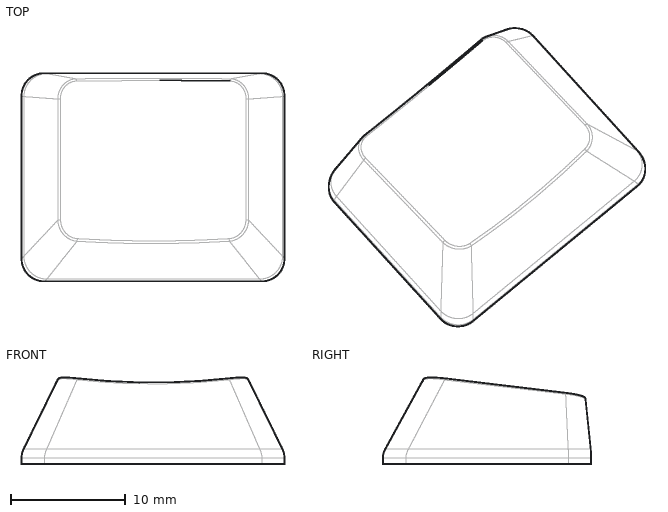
import cadquery as cq
import math

length = 22.92
width = 18.15
base_corner_radius = 2.0
skirt_height = 0.55
shoulder_height = 0.8
shoulder_top = skirt_height + shoulder_height

side_slope = 0.495
front_slope = 0.57
back_slope = 0.095

top_length = 16.45
top_front_y = -5.36
top_back_y = 8.55
top_corner_radius = 1.75
top_fall = 0.12
top_height = 7.08

dish_radius = 56.15
dish_depth = 0.62
rim_radius = 0.23

top_plane = cq.Plane(origin=(0, 0, top_height), xDir=(1, 0, 0), normal=(0, top_fall, 1))
slope_stretch = math.hypot(1, top_fall)


def rounded_outline(size_x, front_y, back_y, corner_radius):
    """Rounded rectangle centred in X and reaching from front_y to back_y."""
    outline = cq.Sketch().rect(size_x, back_y - front_y).vertices().fillet(corner_radius)
    return outline.moved(cq.Location(cq.Vector(0, (front_y + back_y) / 2, 0)))


def base_outline(rise):
    """Base outline drawn in along the wall slopes, as for a straight taper of this rise."""
    return rounded_outline(
        length - 2 * side_slope * rise,
        -width / 2 + front_slope * rise,
        width / 2 - back_slope * rise,
        base_corner_radius,
    )


def at_height(outline, height):
    return outline.moved(cq.Location(cq.Vector(0, 0, height)))


def make_skirt():
    return cq.Workplane("XY").placeSketch(base_outline(0)).extrude(skirt_height)


def make_shoulder():
    """Parabolic turn from the upright skirt into the leaning walls."""
    middle_height = skirt_height + shoulder_height / 2
    sections = (
        at_height(base_outline(0), skirt_height),
        at_height(base_outline(shoulder_height / 8), middle_height),
        at_height(base_outline(shoulder_height / 2), shoulder_top),
    )
    return cq.Workplane("XY").placeSketch(*sections).loft()


def make_body():
    """Tapered walls from the level shoulder outline to the sloping top outline."""
    bottom = at_height(base_outline(shoulder_height / 2), shoulder_top)
    top = rounded_outline(
        top_length,
        top_front_y * slope_stretch,
        top_back_y * slope_stretch,
        top_corner_radius,
    ).moved(top_plane.location)
    return cq.Workplane("XY").placeSketch(bottom, top).loft(ruled=True)


def make_dish():
    """Cylinder hollowing the top across X, overrunning the body at both ends."""
    axis_lift = dish_radius - dish_depth
    start = top_plane.toWorldCoords((0, -width, axis_lift))
    return cq.Workplane(cq.Solid.makeCylinder(dish_radius, 2 * width, start, top_plane.yDir))


dished = make_skirt().union(make_shoulder()).union(make_body()).cut(make_dish())
rim_edges = dished.faces("%CYLINDER").faces(">Z").edges()
result = rim_edges.fillet(rim_radius)